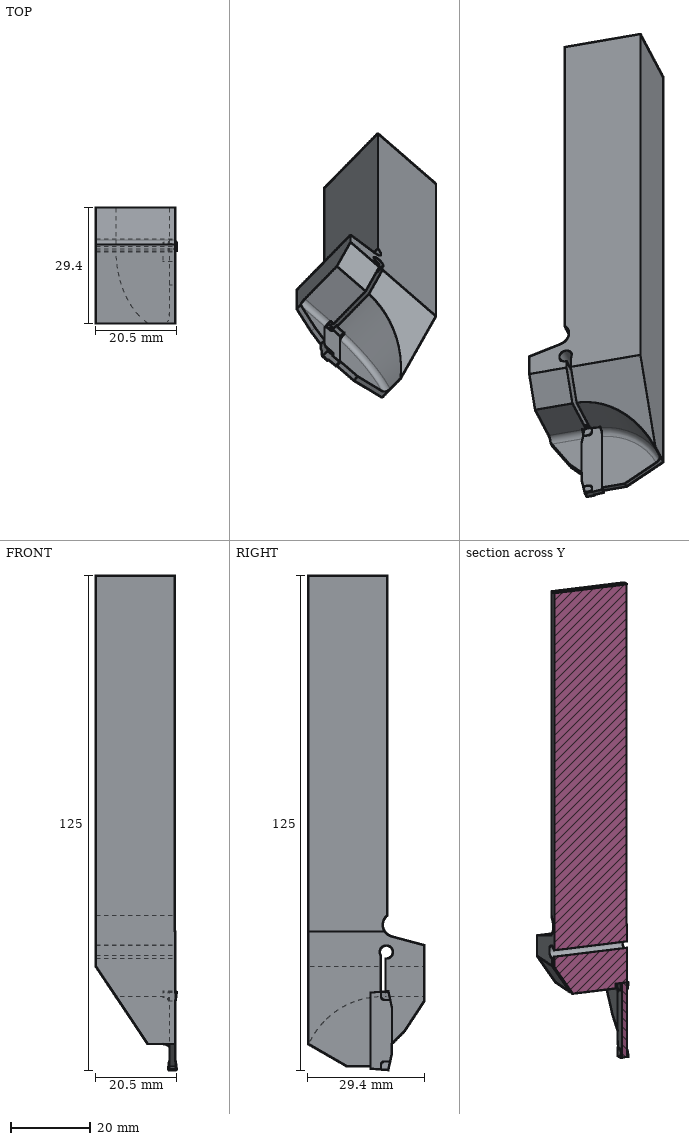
import cadquery as cq
import math

shank_side = 20.0
tool_top = 125.0

head_thickness = 20.1
head_top = 35.1
nose_reach = 29.4
nose_bottom = 17.5
nose_slope = math.radians(15)
nose_underside_knee = (24.4, 9.9)
nose_underside_end = 6.6
relief_radius = 3.0
relief_center = (21.9, 36.8)

blade_bottom = 1.0
front_bottom = 6.6
front_slope = math.radians(30)

slant_top = 26.2
slant_end = (13.1, 6.6)

blade_thickness = 1.5
blade_wall_top = 18.6
blade_wall_radius = 20.5
blade_wall_center_y = 18.8
blade_wall_fillet = 1.6
blade_floor = head_thickness - blade_thickness

slot_low_y = 18.4
slot_high_y = 19.5
slot_hole_center = (19.8, 29.9)
slot_hole_radius = 1.6

insert_length = 20.0
insert_back = 15.8
insert_front = 21.1
insert_end_rise = 0.4
cutting_edge_y = 20.2
front_taper_height = 4.0
tip_back = 18.4
tip_height = 2.2
tip_corner_radius = 1.0
tip_width = 2.2
tip_edge_width = 1.6
tip_neck_width = 1.8
tip_corner_height = 0.2
insert_mid_x = head_thickness - blade_thickness / 2
insert_mid_z = insert_length / 2

cut_margin = 3.8


def yz_prism(outline, x_start, x_end):
    """Extrude a closed outline of the YZ plane from x_start to x_end."""
    return outline.extrude(x_end - x_start).translate((x_start, 0, 0))


def make_cutting_tip():
    """Wide cutting tip at the lower end of the insert."""
    tip_side = (
        cq.Workplane("YZ")
        .moveTo(tip_back, 0)
        .lineTo(tip_back, tip_height - tip_corner_radius)
        .radiusArc((tip_back + tip_corner_radius, tip_height), tip_corner_radius)
        .lineTo(insert_front, tip_height)
        .lineTo(insert_front, 0)
        .close()
    )
    tip_block = yz_prism(tip_side, insert_mid_x - tip_width, insert_mid_x + tip_width)
    half_front = [
        (tip_edge_width / 2, 0),
        (tip_width / 2, tip_corner_height),
        (tip_neck_width / 2, tip_height),
    ]
    right_side = [(insert_mid_x + x, z) for x, z in half_front]
    left_side = [(insert_mid_x - x, z) for x, z in reversed(half_front)]
    tip_front = (
        cq.Workplane("XZ")
        .polyline(right_side + left_side)
        .close()
        .extrude(-(insert_front + cut_margin))
    )
    return tip_block.intersect(tip_front)


def insert_outline():
    """Side outline of the insert."""
    lower_edge = [
        (insert_back, insert_end_rise),
        (cutting_edge_y, 0),
        (insert_front, front_taper_height),
    ]
    upper_edge = [(y, insert_length - z) for y, z in reversed(lower_edge)]
    return cq.Workplane("YZ").polyline(lower_edge + upper_edge).close()


def make_insert():
    """Double-ended insert: a thin plate with a wider cutting tip at each end."""
    plate = yz_prism(insert_outline(), blade_floor, head_thickness)
    envelope = yz_prism(insert_outline(), blade_floor - tip_width, head_thickness + tip_width)
    lower_tip = make_cutting_tip().intersect(envelope)
    upper_tip = lower_tip.mirror("XY", (0, 0, insert_mid_z))
    return plate.union(lower_tip).union(upper_tip)


def make_blank():
    """Side shape of the whole holder, thinned to the shank above the head."""
    center_y, center_z = relief_center
    relief_top_z = center_z + math.sqrt(relief_radius**2 - (center_y - shank_side) ** 2)
    relief_end_y = center_y - relief_radius * math.sin(nose_slope)
    relief_end_z = center_z - relief_radius * math.cos(nose_slope)
    nose_top_z = relief_end_z - (nose_reach - relief_end_y) * math.tan(nose_slope)
    front_slope_end = (front_bottom - blade_bottom) / math.tan(front_slope)
    outline = (
        cq.Workplane("YZ")
        .moveTo(0, front_bottom)
        .lineTo(0, tool_top)
        .lineTo(shank_side, tool_top)
        .lineTo(shank_side, relief_top_z)
        .threePointArc((center_y - relief_radius, center_z), (relief_end_y, relief_end_z))
        .lineTo(nose_reach, nose_top_z)
        .lineTo(nose_reach, nose_bottom)
        .lineTo(*nose_underside_knee)
        .lineTo(insert_front, nose_underside_end)
        .lineTo(insert_back, nose_underside_end)
        .lineTo(insert_back, blade_bottom)
        .lineTo(front_slope_end, blade_bottom)
        .close()
    )
    shank_step = cq.Workplane("XY").box(
        cut_margin, nose_reach + cut_margin, tool_top, centered=(False, False, False)
    )
    return yz_prism(outline, 0, head_thickness).cut(shank_step.translate((shank_side, 0, head_top)))


def make_slant_cut():
    """Wedge below the slanted face, reaching past the bottom of the tool."""
    end_x, end_z = slant_end
    slope = (slant_top - end_z) / end_x
    bottom_x = end_x + (end_z + cut_margin) / slope
    return (
        cq.Workplane("XZ")
        .polyline(
            [
                (-cut_margin, slant_top + cut_margin * slope),
                (bottom_x, -cut_margin),
                (-cut_margin, -cut_margin),
            ]
        )
        .close()
        .extrude(-(nose_reach + cut_margin))
    )


def make_blade_cut():
    """Milled space beside the blade, rounded where its wall meets the blade."""
    center_z = blade_wall_top - blade_wall_radius

    def wall_z(y):
        return center_z + math.sqrt(blade_wall_radius**2 - (y - blade_wall_center_y) ** 2)

    front_z = wall_z(0)
    front_steepness = blade_wall_center_y / (front_z - center_z)
    middle_y = blade_wall_center_y / 2
    cut_bottom = -2 * cut_margin
    outline = (
        cq.Workplane("YZ")
        .moveTo(-cut_margin, front_z - cut_margin * front_steepness)
        .lineTo(0, front_z)
        .threePointArc((middle_y, wall_z(middle_y)), (blade_wall_center_y, blade_wall_top))
        .lineTo(nose_reach + cut_margin, blade_wall_top)
        .lineTo(nose_reach + cut_margin, cut_bottom)
        .lineTo(-cut_margin, cut_bottom)
        .close()
    )
    return yz_prism(outline, -cut_margin, blade_floor).faces(">X").edges().fillet(blade_wall_fillet)


def make_slot_cut():
    """Clamping slot from the end of the insert up to its round relief hole."""
    hole_y, hole_z = slot_hole_center
    hole = cq.Workplane("YZ").center(hole_y, hole_z).circle(slot_hole_radius)
    slot = cq.Workplane("YZ").moveTo(slot_low_y, insert_mid_z).lineTo(slot_low_y, hole_z)
    slot = slot.lineTo(slot_high_y, hole_z).lineTo(slot_high_y, insert_mid_z).close()
    return yz_prism(hole, 0, head_thickness).union(yz_prism(slot, 0, head_thickness))


def make_seat_clearance():
    """Space beside the insert, so that the wall fillet does not overlap its side."""
    return yz_prism(insert_outline(), blade_floor - blade_wall_fillet, blade_floor)


def make_holder(insert):
    """Tool holder with a seat that matches the insert."""
    holder = make_blank().cut(make_slant_cut()).cut(make_blade_cut())
    return holder.cut(make_slot_cut()).cut(make_seat_clearance()).cut(insert)


insert = make_insert()
holder = make_holder(insert)
result = cq.Compound.makeCompound([holder.solids().val(), insert.solids().val()])